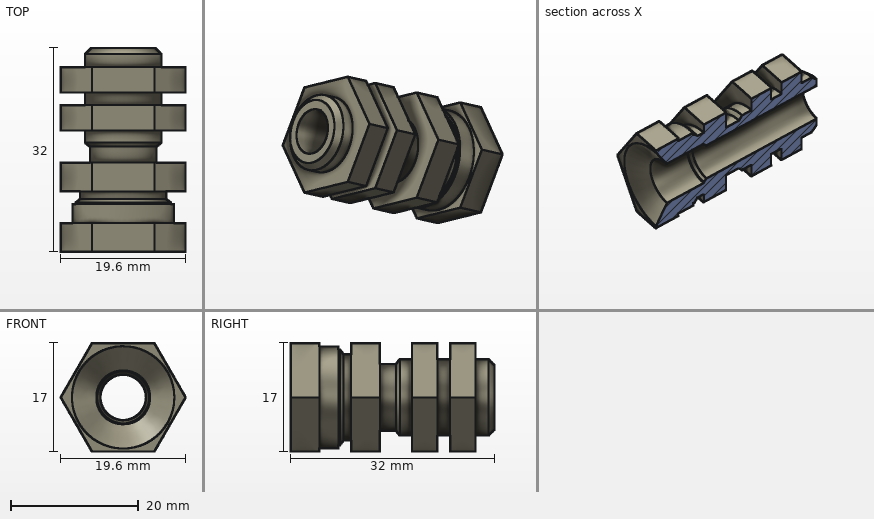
import cadquery as cq
import math

length = 32.0
across_flats = 17.0
across_corners = across_flats * 2 / math.sqrt(3)

head_thickness = 4.5
body_hex_start = 9.5
body_hex_thickness = 4.48
nut_thickness = 4.0
nut_starts = (19.0, 25.0)

collar_radius = 8.0
collar_end = 7.5
seal_wide_radius = 7.52
seal_cone_start = 7.7
seal_radius = 6.8
seal_cone_end = 8.3
neck_radius = 5.25
thread_start = 16.5
thread_lead_in = 0.6
thread_radius = 6.0
tip_chamfer = 1.0

mouth_radius = 8.03
throat_radius = 4.22
funnel_angle = 120
funnel_depth = (mouth_radius - throat_radius) / math.tan(math.radians(funnel_angle / 2))
ledge_radius = 4.1
bore_radius = 3.55
bore_cone_end = body_hex_start + ledge_radius - bore_radius


def revolve_about_y(profile):
    """Revolve a closed (radius, y) profile a full turn about the Y axis."""
    return cq.Workplane("XY").polyline(profile).close().revolve(360, (0, 0), (0, 1))


def hexagon(start, thickness):
    """Hexagonal prism along Y with two corners on the X axis."""
    plane = cq.Workplane("XZ", origin=(0, start, 0))
    return plane.polygon(6, across_corners).extrude(-thickness)


body = revolve_about_y([
    (0, 0),
    (collar_radius, 0),
    (collar_radius, collar_end),
    (seal_wide_radius, collar_end),
    (seal_wide_radius, seal_cone_start),
    (seal_radius, seal_cone_end),
    (seal_radius, body_hex_start),
    (neck_radius, body_hex_start),
    (neck_radius, thread_start),
    (thread_radius, thread_start + thread_lead_in),
    (thread_radius, length - tip_chamfer),
    (thread_radius - tip_chamfer, length),
    (0, length),
])

body = body.union(hexagon(0, head_thickness))
body = body.union(hexagon(body_hex_start, body_hex_thickness))
for nut_start in nut_starts:
    body = body.union(hexagon(nut_start, nut_thickness))

passage = revolve_about_y([
    (0, 0),
    (mouth_radius, 0),
    (throat_radius, funnel_depth),
    (throat_radius, body_hex_start),
    (ledge_radius, body_hex_start),
    (bore_radius, bore_cone_end),
    (bore_radius, length),
    (0, length),
])

result = body.cut(passage)